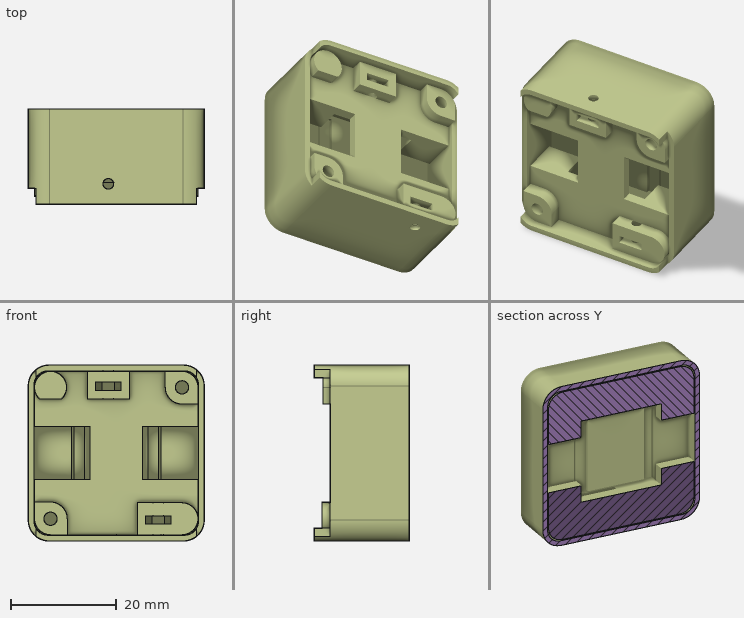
import cadquery as cq
import math


OUTER = 33.4
DEPTH = 18.1
OUTER_RADIUS = 4.0
WALL = 1.1
INNER = OUTER - 2 * WALL
INNER_HALF = INNER / 2
INNER_RADIUS = 2.75
LIP_WIDTH = 30.45
LIP_DEPTH = 3.05

PLATE_FRONT = 4.15
PLATE_THICKNESS = 2.0
HOLDER_FRONT = PLATE_FRONT + PLATE_THICKNESS
HOLDER_THICKNESS = 5.0
HOLDER_BACK = HOLDER_FRONT + HOLDER_THICKNESS
SPACER_GAP = 1.0
SEAT_FRONT = HOLDER_BACK + SPACER_GAP

INSERT = 31.0
INSERT_HALF = INSERT / 2
CORNER_RADIUS = 3.05
CORNER_CENTER = INSERT_HALF - CORNER_RADIUS
SIDE_SLOT_HEIGHT = 10.02
SIDE_SLOT_INNER_X = 5.0
WINDOW = 16.9

UPPER_FRONT = 1.67
LOWER_FRONT = 1.5
CORNER_BOSS_INNER = 9.3
CORNER_BOSS_RADIUS = 3.17
CORNER_HOLE_DIAMETER = 2.5
FLAT_Z = 10.25
UPPER_BLOCK_LEFT = -5.45
UPPER_BLOCK_WIDTH = 8.0
LOWER_BLOCK_LEFT = 4.08
LOWER_BLOCK_TOP = -CORNER_CENTER + CORNER_RADIUS

SCREW_Y = 3.88
SCREW_DIAMETER = 2.0
NUT_ACROSS_CORNERS = 4.8
NUT_HEIGHT = 1.55
NUT_Z = 12.65
UPPER_SCREW_X = -1.5
LOWER_SCREW_X = 8.0

MODULE_WIDTH = 16.1
MODULE_CAP_WIDTH = 11.95
MODULE_CAP_HEIGHT = 15.37
MODULE_BASE_DEPTH = DEPTH - WALL - SEAT_FRONT

RIB_LEFT = 0.07


def box(left, right, front, back, bottom, top):
    """Box between the given X, Y and Z limits."""
    return cq.Workplane("XY").box(
        right - left, back - front, top - bottom, centered=False
    ).translate((left, front, bottom))


def centered_block(width, height, front, depth):
    """Box centred on the Y axis that starts at the given front face."""
    return box(-width / 2, width / 2, front, front + depth, -height / 2, height / 2)


def rounded_block(size, radius, front, depth):
    """Square block with its four corners rounded along Y."""
    return centered_block(size, size, front, depth).edges("|Y").fillet(radius)


def round_bar(x, z, diameter, front, back):
    """Cylinder along Y."""
    return (
        cq.Workplane("XZ", origin=(x, front, z))
        .circle(diameter / 2)
        .extrude(front - back)
    )


def screw_hole(x, bottom, top):
    """Cutter for a vertical screw hole."""
    return (
        cq.Workplane("XY", origin=(x, SCREW_Y, bottom))
        .circle(SCREW_DIAMETER / 2)
        .extrude(top - bottom)
    )


def nut_trap(x, z):
    """Cutter for a nut slot open to the front that ends in half a hexagon."""
    half_width = NUT_ACROSS_CORNERS / 2
    half_flats = half_width * math.sqrt(3) / 2
    hexagon_end = [
        (x - half_width, 0),
        (x - half_width, SCREW_Y),
        (x - half_width / 2, SCREW_Y + half_flats),
        (x + half_width / 2, SCREW_Y + half_flats),
        (x + half_width, SCREW_Y),
        (x + half_width, 0),
    ]
    return (
        cq.Workplane("XY", origin=(0, 0, z - NUT_HEIGHT / 2))
        .polyline(hexagon_end)
        .close()
        .extrude(NUT_HEIGHT)
    )


def make_shell():
    """Open-fronted shell with lips, a recessed thick back and screw holes."""
    shell = rounded_block(OUTER, OUTER_RADIUS, 0, DEPTH)
    shell = shell.cut(rounded_block(INNER, INNER_RADIUS, 0, SEAT_FRONT))
    side_cut = box(LIP_WIDTH / 2, OUTER, 0, LIP_DEPTH, -OUTER, OUTER)
    shell = shell.cut(side_cut).cut(side_cut.mirror("YZ"))
    shell = shell.cut(centered_block(WINDOW, WINDOW, SEAT_FRONT, MODULE_BASE_DEPTH))
    rib = box(RIB_LEFT, WINDOW / 2, HOLDER_BACK, SEAT_FRONT, -INNER_HALF, -WINDOW / 2)
    shell = shell.union(rib)
    shell = shell.cut(screw_hole(UPPER_SCREW_X, 0, OUTER))
    return shell.cut(screw_hole(LOWER_SCREW_X, -OUTER, 0))


def corner_boss(front):
    """Upper-right corner boss with one rounded inner corner."""
    boss = box(CORNER_BOSS_INNER, INSERT_HALF, front, PLATE_FRONT, CORNER_BOSS_INNER, INSERT_HALF)
    boss = boss.edges("|Y and <X and <Z").fillet(CORNER_BOSS_RADIUS)
    return boss.edges("|Y and >X and >Z").fillet(CORNER_RADIUS)


def round_stub():
    """Upper-left round stub with a flat underside."""
    stub = round_bar(-CORNER_CENTER, CORNER_CENTER, 2 * CORNER_RADIUS, UPPER_FRONT, PLATE_FRONT)
    return stub.cut(box(-OUTER, 0, 0, DEPTH, 0, FLAT_Z))


def upper_nut_block():
    """Block along the upper edge that holds the upper nut."""
    right = UPPER_BLOCK_LEFT + UPPER_BLOCK_WIDTH
    return box(UPPER_BLOCK_LEFT, right, UPPER_FRONT, PLATE_FRONT, FLAT_Z, INSERT_HALF)


def lower_nut_block():
    """Lower-right block whose right end is a half round."""
    block = box(
        LOWER_BLOCK_LEFT, CORNER_CENTER, LOWER_FRONT, PLATE_FRONT, -INSERT_HALF, LOWER_BLOCK_TOP
    )
    end = round_bar(CORNER_CENTER, -CORNER_CENTER, 2 * CORNER_RADIUS, LOWER_FRONT, PLATE_FRONT)
    return block.union(end)


def side_slots():
    """Cutters for the left and right slots that run out through the sides."""
    half_height = SIDE_SLOT_HEIGHT / 2
    slot = box(SIDE_SLOT_INNER_X, OUTER, PLATE_FRONT, HOLDER_FRONT, -half_height, half_height)
    return slot.union(slot.mirror("YZ"))


def make_plate():
    """Plate with side slots, bosses, nut traps and screw holes."""
    plate = rounded_block(INSERT, CORNER_RADIUS, PLATE_FRONT, PLATE_THICKNESS)
    plate = plate.cut(side_slots())
    plate = plate.union(corner_boss(UPPER_FRONT))
    plate = plate.union(corner_boss(LOWER_FRONT).rotate((0, 0, 0), (0, 1, 0), 180))
    plate = plate.union(round_stub()).union(upper_nut_block()).union(lower_nut_block())
    for side in (-1, 1):
        center = side * CORNER_CENTER
        plate = plate.cut(round_bar(center, center, CORNER_HOLE_DIAMETER, 0, HOLDER_FRONT))
    plate = plate.cut(nut_trap(UPPER_SCREW_X, NUT_Z)).cut(nut_trap(LOWER_SCREW_X, -NUT_Z))
    plate = plate.cut(screw_hole(UPPER_SCREW_X, FLAT_Z, OUTER))
    return plate.cut(screw_hole(LOWER_SCREW_X, -OUTER, LOWER_BLOCK_TOP))


def make_holder():
    """Lower holder: a block notched by half of the square window, below the side slots."""
    block = rounded_block(INSERT, CORNER_RADIUS, HOLDER_FRONT, HOLDER_THICKNESS)
    block = block.cut(centered_block(WINDOW, WINDOW, HOLDER_FRONT, HOLDER_THICKNESS))
    return block.cut(box(-OUTER, OUTER, 0, DEPTH, -SIDE_SLOT_HEIGHT / 2, OUTER))


def make_module():
    """Square module in the shell recess with a narrower cap in front."""
    base = centered_block(MODULE_WIDTH, MODULE_WIDTH, SEAT_FRONT, MODULE_BASE_DEPTH)
    cap = centered_block(MODULE_CAP_WIDTH, MODULE_CAP_HEIGHT, HOLDER_BACK, SPACER_GAP)
    return base.union(cap)


shell = make_shell()
plate = make_plate()
holders = [make_holder().rotate((0, 0, 0), (0, 1, 0), angle).val() for angle in (0, 180)]
module = make_module()

result = cq.Compound.makeCompound([shell.val(), plate.val(), *holders, module.val()])